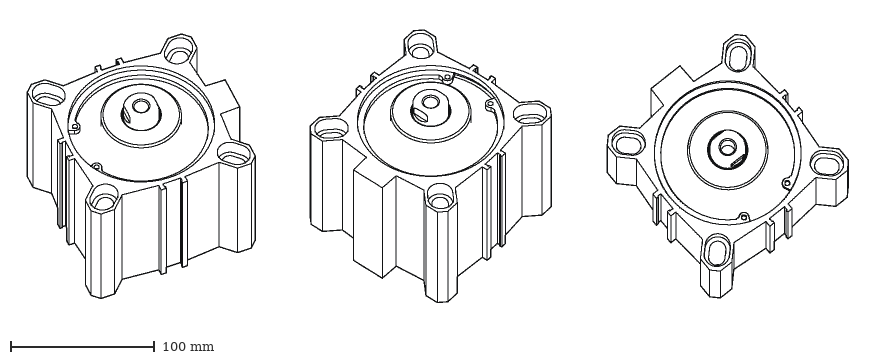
import cadquery as cq
import math

OVERALL_WIDTH = 124.0
OVERALL_DEPTH = 131.0
HOUSING_HEIGHT = 96.0
COVER_PROTRUSION = 10.5
ROD_PROTRUSION = 10.0
COVER_TOP = HOUSING_HEIGHT + COVER_PROTRUSION
ROD_TOP = COVER_TOP + ROD_PROTRUSION

HALF_WIDTH = OVERALL_WIDTH / 2
LUG_WIDTH = 22.0
LUG_CORNER_CHAMFER = 5.2
WALL_HALF_AT_CENTRE = 55.4
WALL_SLOPE = 5.0
PORT_REACH = OVERALL_DEPTH - HALF_WIDTH
PORT_BASE_WIDTH = 27.0
PORT_TIP_WIDTH = 26.0
ROOT_REACH = 53.0

RAIL_REACH = 59.0
RAIL_OUTER = 10.0
RAIL_INNER = 6.0
RAIL_GROOVE_FLOOR = 54.5
RAIL_UNDERCUT = 0.7
RAIL_LIP = 1.8

SLOT_OUTER = 51.1
SLOT_INNER = 47.0
SLOT_WIDTH = 11.4
COUNTERBORE_WIDTH = 17.5
COUNTERBORE_DEPTH = 11.3

BORE_DIAMETER = 101.7
MOUTH_DIAMETER = 102.2
RING_OUTER_DIAMETER = 106.2
RING_INNER_DIAMETER = 93.3
RING_TOP = HOUSING_HEIGHT - 4.7
RING_THICKNESS = 4.0
RING_BOTTOM = RING_TOP - RING_THICKNESS
RING_EYE_X = 19.4
RING_EYE_Y = -41.9
RING_EYE_DIAMETER = 3.5
RING_EAR_RADIUS = 3.5
RING_WEB_Y = -39.4

FLANGE_THICKNESS = 13.1
FLANGE_BOTTOM = RING_BOTTOM - FLANGE_THICKNESS
CONE_DIAMETER = 81.7
CONE_TOP = HOUSING_HEIGHT - 1.5
CONE_FILLET = 0.9
COLLAR_DIAMETER = 56.1
COLLAR_CHAMFER = 1.5
WIPER_DIAMETER = 26.9
WIPER_MOUTH_DIAMETER = 28.0
WIPER_DEPTH = 2.0
LIP_DIAMETER = 25.5
LIP_DEPTH = 2.6

ROD_DIAMETER = 25.0
ROD_EDGE_RADIUS = 2.0
ACROSS_FLATS = 22.0
FLAT_HEIGHT = 7.0
TAPPED_DIAMETER = 10.1
TAPPED_MOUTH_DIAMETER = 12.0
TAPPED_DEPTH = 19.6
DRILL_POINT_ANGLE = 118.0

SELECTION_MARGIN = 0.1


def prism(points, bottom, height):
    """Upright prism on a closed polygon."""
    return cq.Workplane("XY").workplane(offset=bottom).polyline(points).close().extrude(height)


def disc(diameter, bottom, top):
    """Upright cylinder on the Z axis."""
    return cq.Workplane("XY").workplane(offset=bottom).circle(diameter / 2).extrude(top - bottom)


def revolve_profile(points):
    """Solid of revolution about Z from (radius, height) points."""
    return cq.Workplane("XZ").polyline(points).close().revolve(360, (0, 0, 0), (0, 1, 0))


def core_profile():
    """Corner points of the barrel with its four diagonal lugs."""
    lug_offset = LUG_WIDTH / math.sqrt(2)
    slope = math.tan(math.radians(WALL_SLOPE))
    root_x = (WALL_HALF_AT_CENTRE - lug_offset) / (1 + slope)
    root_y = root_x + lug_offset
    quarter = [
        (root_y, root_x),
        (HALF_WIDTH, HALF_WIDTH - lug_offset),
        (HALF_WIDTH, HALF_WIDTH - LUG_CORNER_CHAMFER),
        (HALF_WIDTH - LUG_CORNER_CHAMFER, HALF_WIDTH),
        (HALF_WIDTH - lug_offset, HALF_WIDTH),
        (root_x, root_y),
        (0, WALL_HALF_AT_CENTRE),
    ]
    points = []
    for turn in range(4):
        for x, y in quarter:
            for _ in range(turn):
                x, y = -y, x
            points.append((x, y))
    return points


def rail(angle, side):
    """One hooked rail; side is +1 or -1 from the middle of the wall."""
    lip_start = RAIL_REACH - RAIL_LIP
    undercut = RAIL_INNER + RAIL_UNDERCUT
    points = [
        (ROOT_REACH, side * RAIL_OUTER),
        (RAIL_REACH, side * RAIL_OUTER),
        (RAIL_REACH, side * RAIL_INNER),
        (lip_start, side * RAIL_INNER),
        (lip_start, side * undercut),
        (ROOT_REACH, side * undercut),
    ]
    return prism(points, 0, HOUSING_HEIGHT).rotate((0, 0, 0), (0, 0, 1), angle)


def rail_channel(angle):
    """Flat-bottomed clearance between the two rails of a pair."""
    depth = RAIL_REACH - RAIL_GROOVE_FLOOR
    width = 2 * (RAIL_INNER + RAIL_UNDERCUT)
    channel = cq.Workplane("XY").box(depth, width, HOUSING_HEIGHT, centered=(False, True, False))
    return channel.translate((RAIL_GROOVE_FLOOR, 0, 0)).rotate((0, 0, 0), (0, 0, 1), angle)


def lug_slot(width, bottom, x_sign, y_sign):
    """Diagonal slot cutter in one lug, from bottom up to the housing top."""
    middle = (SLOT_OUTER + SLOT_INNER) / 2
    length = (SLOT_OUTER - SLOT_INNER) * math.sqrt(2) + width
    return (
        cq.Workplane("XY")
        .workplane(offset=bottom)
        .center(x_sign * middle, y_sign * middle)
        .slot2D(length, width, 45 * x_sign * y_sign)
        .extrude(HOUSING_HEIGHT - bottom)
    )


def make_housing():
    body = prism(core_profile(), 0, HOUSING_HEIGHT)

    port = [
        (-PORT_BASE_WIDTH / 2, ROOT_REACH),
        (PORT_BASE_WIDTH / 2, ROOT_REACH),
        (PORT_TIP_WIDTH / 2, PORT_REACH),
        (-PORT_TIP_WIDTH / 2, PORT_REACH),
    ]
    body = body.union(prism(port, 0, HOUSING_HEIGHT))

    for angle in (0, 180, 270):
        body = body.cut(rail_channel(angle))
        for side in (-1, 1):
            body = body.union(rail(angle, side))

    for x_sign in (-1, 1):
        for y_sign in (-1, 1):
            body = body.cut(lug_slot(SLOT_WIDTH, 0, x_sign, y_sign))
            counterbore_floor = HOUSING_HEIGHT - COUNTERBORE_DEPTH
            body = body.cut(lug_slot(COUNTERBORE_WIDTH, counterbore_floor, x_sign, y_sign))

    body = body.cut(disc(BORE_DIAMETER, FLANGE_BOTTOM, RING_BOTTOM))
    body = body.cut(disc(MOUTH_DIAMETER, RING_TOP, HOUSING_HEIGHT))
    return body.cut(disc(RING_OUTER_DIAMETER, RING_BOTTOM, RING_TOP))


def make_ring():
    """Open retaining ring with two eyed ears at its gap."""
    ring = disc(RING_OUTER_DIAMETER, RING_BOTTOM, RING_TOP)
    ring = ring.cut(disc(RING_INNER_DIAMETER, RING_BOTTOM, RING_TOP))
    eyes = [(-RING_EYE_X, RING_EYE_Y), (RING_EYE_X, RING_EYE_Y)]
    plane = cq.Workplane("XY").workplane(offset=RING_BOTTOM)
    ring = ring.union(plane.pushPoints(eyes).circle(RING_EAR_RADIUS).extrude(RING_THICKNESS))

    web_end = math.sqrt((RING_INNER_DIAMETER / 2) ** 2 - RING_WEB_Y ** 2)
    for sign in (-1, 1):
        web = [
            (sign * RING_EYE_X, RING_EYE_Y),
            (sign * RING_EYE_X, RING_WEB_Y),
            (sign * web_end, RING_WEB_Y),
            (sign * web_end, RING_EYE_Y),
        ]
        ring = ring.union(prism(web, RING_BOTTOM, RING_THICKNESS))

    eye_distance = math.hypot(RING_EYE_X, RING_EYE_Y)
    out_x = RING_EYE_X / eye_distance
    out_y = RING_EYE_Y / eye_distance
    tangent_x = RING_EYE_X + RING_EAR_RADIUS * out_y
    tangent_y = RING_EYE_Y - RING_EAR_RADIUS * out_x
    outer_x = tangent_x + RING_OUTER_DIAMETER / 2 * out_x
    outer_y = tangent_y + RING_OUTER_DIAMETER / 2 * out_y
    gap = [
        (-tangent_x, tangent_y),
        (tangent_x, tangent_y),
        (outer_x, outer_y),
        (-outer_x, outer_y),
    ]
    ring = ring.cut(prism(gap, RING_BOTTOM, RING_THICKNESS))
    return ring.cut(plane.pushPoints(eyes).circle(RING_EYE_DIAMETER / 2).extrude(RING_THICKNESS))


def make_cover():
    """Flange, cone and collar around the rod."""
    rod_radius = ROD_DIAMETER / 2
    wiper_radius = WIPER_DIAMETER / 2
    mouth_radius = WIPER_MOUTH_DIAMETER / 2
    collar_radius = COLLAR_DIAMETER / 2
    cover = revolve_profile([
        (rod_radius, FLANGE_BOTTOM),
        (BORE_DIAMETER / 2, FLANGE_BOTTOM),
        (BORE_DIAMETER / 2, RING_BOTTOM),
        (CONE_DIAMETER / 2, RING_BOTTOM),
        (collar_radius, CONE_TOP),
        (collar_radius, COVER_TOP - COLLAR_CHAMFER),
        (collar_radius - COLLAR_CHAMFER, COVER_TOP),
        (mouth_radius, COVER_TOP),
        (wiper_radius, COVER_TOP - (mouth_radius - wiper_radius)),
        (wiper_radius, COVER_TOP - WIPER_DEPTH),
        (LIP_DIAMETER / 2, COVER_TOP - WIPER_DEPTH),
        (LIP_DIAMETER / 2, COVER_TOP - LIP_DEPTH),
        (rod_radius, COVER_TOP - LIP_DEPTH),
    ])

    reach = CONE_DIAMETER / 2 + SELECTION_MARGIN
    cone_zone = cq.selectors.BoxSelector(
        (-reach, -reach, RING_BOTTOM - SELECTION_MARGIN),
        (reach, reach, CONE_TOP + SELECTION_MARGIN),
        boundingbox=True,
    )
    return cover.edges("%CIRCLE").edges(cone_zone).fillet(CONE_FILLET)


def make_rod():
    rod = disc(ROD_DIAMETER, FLANGE_BOTTOM, ROD_TOP).faces(">Z").edges().fillet(ROD_EDGE_RADIUS)

    half_flats = ACROSS_FLATS / 2
    runout = ROD_DIAMETER - ACROSS_FLATS
    flat_bottom = ROD_TOP - FLAT_HEIGHT
    for sign in (-1, 1):
        wedge = [
            (sign * half_flats, ROD_TOP),
            (sign * half_flats, flat_bottom),
            (sign * (half_flats + runout), flat_bottom - runout),
            (sign * (half_flats + runout), ROD_TOP),
        ]
        cutter = cq.Workplane("YZ").polyline(wedge).close().extrude(ROD_DIAMETER / 2, both=True)
        rod = rod.cut(cutter)

    hole_radius = TAPPED_DIAMETER / 2
    mouth_radius = TAPPED_MOUTH_DIAMETER / 2
    hole_bottom = ROD_TOP - TAPPED_DEPTH
    point_length = hole_radius / math.tan(math.radians(DRILL_POINT_ANGLE / 2))
    hole = revolve_profile([
        (0, ROD_TOP),
        (mouth_radius, ROD_TOP),
        (hole_radius, ROD_TOP - (mouth_radius - hole_radius)),
        (hole_radius, hole_bottom),
        (0, hole_bottom - point_length),
    ])
    return rod.cut(hole)


housing = make_housing()
ring = make_ring()
cover = make_cover()
rod = make_rod()

result = cq.Compound.makeCompound([housing.val(), ring.val(), cover.val(), rod.val()])